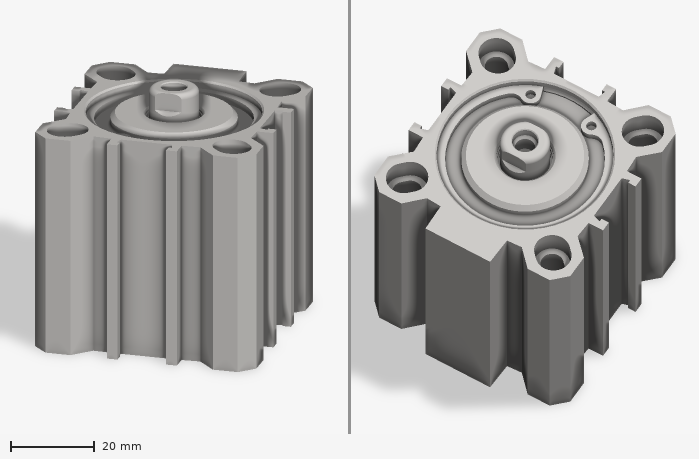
import cadquery as cq
import math

total_height = 60.5
overall_width = 55.0
overall_depth = 58.0
housing_height = 54.5

half_width = overall_width / 2
lug_chamfer = 3.55
lug_inner_end = 17.7
valley_start = 13.3
valley_depth = 23.0
wall_depth = 23.25
rail_outer = 8.7
rail_lip = 6.05
rail_neck = 6.9
rail_foot = 6.3
rail_tip = 27.3
lip_underside = 25.2
port_block_reach = overall_depth - half_width
port_block_tip = 9.1
port_block_foot = 9.3

mount_offset = 20.45
mount_stretch = 1.6
mount_hole_dia = 5.5
mount_counterbore_dia = 8.6
mount_counterbore_depth = 5.8

mouth_dia = 42.2
mouth_chamfer = 0.4
ring_groove_dia = 44.7
ring_depth = 2.0
ring_thickness = 1.75
ring_inner_dia = 38.2
ring_eye_x = 8.55
ring_eye_y = -16.35
ring_eye_radius = 2.5
ring_eye_hole_dia = 2.5
ring_eye_fillet = 2.8

cover_flange_dia = 41.7
cover_flange_thickness = 6.05
cover_boss_dia = 30.5
cover_boss_top_dia = 28.25
cover_boss_depth = 0.55
cover_bevel_height = 1.2
cover_root_fillet = 0.65
cover_mouth_dia = 14.65
wiper_dia = 13.7
wiper_step_dia = 13.05
wiper_lip_dia = 12.5
wiper_step_depth = 0.95

rod_dia = 12.0
rod_fillet = 1.35
rod_flat_spacing = 10.0
rod_flat_height = 4.55
rod_mouth_dia = 6.25
rod_mouth_chamfer = 0.25
rod_mouth_depth = 2.4
rod_drill_dia = 4.9
rod_drill_depth = 7.25
drill_point_angle = 118.0

ring_top = housing_height - ring_depth
cover_flange_top = ring_top - ring_thickness
seat_floor = cover_flange_top - cover_flange_thickness
cover_boss_top = housing_height - cover_boss_depth


def disc(diameter, bottom, top):
    return cq.Workplane("XY").workplane(offset=bottom).circle(diameter / 2).extrude(top - bottom)


def turned(profile):
    """Revolve (radius, z) points about the Z axis."""
    return cq.Workplane("XZ").polyline(profile).close().revolve(360, (0, 0, 0), (0, 1, 0))


def mirrored_side(half):
    """Complete one side of the outline from its points at negative position along the side."""
    return half + [(-along, out) for along, out in reversed(half)]


def housing_outline():
    lug = [
        (lug_chamfer - half_width, half_width),
        (-lug_inner_end, half_width),
        (-valley_start, valley_depth),
    ]
    rail = [
        (-rail_outer, wall_depth),
        (-rail_outer, rail_tip),
        (-rail_lip, rail_tip),
        (-rail_lip, lip_underside),
        (-rail_neck, lip_underside),
        (-rail_foot, wall_depth),
    ]
    port_block = [(-port_block_foot, wall_depth), (-port_block_tip, port_block_reach)]

    rail_side = mirrored_side(lug + rail)
    port_side = mirrored_side(lug + port_block)
    right = [(out, -along) for along, out in rail_side]
    bottom = [(-along, -out) for along, out in rail_side]
    left = [(-out, along) for along, out in rail_side]
    return port_side + right + bottom + left


def mounting_holes():
    holes = cq.Workplane("XY")
    counterbore_floor = housing_height - mount_counterbore_depth
    for sign_x in (-1, 1):
        for sign_y in (-1, 1):
            center = (sign_x * mount_offset, sign_y * mount_offset)
            angle = 45 * sign_x * sign_y
            for diameter, bottom in ((mount_hole_dia, 0), (mount_counterbore_dia, counterbore_floor)):
                slot = (
                    cq.Workplane("XY").workplane(offset=bottom).center(*center)
                    .slot2D(diameter + mount_stretch, diameter, angle)
                    .extrude(housing_height - bottom)
                )
                holes = holes.add(slot)
    return holes.combine()


def make_housing():
    body = cq.Workplane("XY").polyline(housing_outline()).close().extrude(housing_height)
    mouth_radius = mouth_dia / 2
    mouth = turned([
        (0, seat_floor),
        (mouth_radius, seat_floor),
        (mouth_radius, housing_height - mouth_chamfer),
        (mouth_radius + mouth_chamfer, housing_height),
        (0, housing_height),
    ])
    groove = disc(ring_groove_dia, cover_flange_top, ring_top)
    return body.cut(mounting_holes()).cut(mouth).cut(groove)


def polar(radius, angle):
    return (radius * math.cos(angle), radius * math.sin(angle))


def point_towards(start, end, distance):
    """Point at a given distance from start on the line to end."""
    share = distance / math.dist(start, end)
    return (start[0] + share * (end[0] - start[0]), start[1] + share * (end[1] - start[1]))


def mirror_x(point):
    return (-point[0], point[1])


def make_ring():
    inner = ring_inner_dia / 2
    outer = ring_groove_dia / 2
    eye = (ring_eye_x, ring_eye_y)
    eye_reach = math.hypot(*eye)
    eye_angle = math.atan2(ring_eye_y, ring_eye_x)

    end_angle = eye_angle - math.asin(ring_eye_radius / eye_reach)
    end_inner = polar(math.sqrt(eye_reach**2 - ring_eye_radius**2), end_angle)
    end_outer = polar(outer, end_angle)

    blend_reach = inner - ring_eye_fillet
    blend_to_eye = ring_eye_radius + ring_eye_fillet
    cosine = (eye_reach**2 + blend_reach**2 - blend_to_eye**2) / (2 * eye_reach * blend_reach)
    blend_angle = eye_angle + math.acos(cosine)
    blend = polar(blend_reach, blend_angle)
    blend_on_ring = polar(inner, blend_angle)
    blend_on_eye = point_towards(blend, eye, ring_eye_fillet)
    blend_chord_middle = (
        (blend_on_ring[0] + blend_on_eye[0]) / 2,
        (blend_on_ring[1] + blend_on_eye[1]) / 2,
    )
    blend_middle = point_towards(blend, blend_chord_middle, ring_eye_fillet)
    eye_middle = point_towards(eye, (0, 0), ring_eye_radius)

    ring = (
        cq.Workplane("XY").workplane(offset=cover_flange_top)
        .moveTo(*end_outer)
        .threePointArc((0, outer), mirror_x(end_outer))
        .lineTo(*mirror_x(end_inner))
        .threePointArc(mirror_x(eye_middle), mirror_x(blend_on_eye))
        .threePointArc(mirror_x(blend_middle), mirror_x(blend_on_ring))
        .threePointArc((0, inner), blend_on_ring)
        .threePointArc(blend_middle, blend_on_eye)
        .threePointArc(eye_middle, end_inner)
        .close()
        .extrude(ring_thickness)
    )
    eye_holes = (
        cq.Workplane("XY").workplane(offset=cover_flange_top)
        .pushPoints([eye, mirror_x(eye)])
        .circle(ring_eye_hole_dia / 2)
        .extrude(ring_thickness)
    )
    return ring.cut(eye_holes)


def make_cover():
    boss_radius = cover_boss_dia / 2
    root_radius = boss_radius + cover_root_fillet
    root_corner = cover_root_fillet * (1 - math.sqrt(0.5))
    body = (
        cq.Workplane("XZ")
        .moveTo(0, seat_floor)
        .lineTo(cover_flange_dia / 2, seat_floor)
        .lineTo(cover_flange_dia / 2, cover_flange_top)
        .lineTo(root_radius, cover_flange_top)
        .threePointArc(
            (boss_radius + root_corner, cover_flange_top + root_corner),
            (boss_radius, cover_flange_top + cover_root_fillet),
        )
        .lineTo(boss_radius, cover_boss_top - cover_bevel_height)
        .lineTo(cover_boss_top_dia / 2, cover_boss_top)
        .lineTo(0, cover_boss_top)
        .close()
        .revolve(360, (0, 0, 0), (0, 1, 0))
    )
    mouth_bevel = (cover_mouth_dia - wiper_dia) / 2
    first_step = cover_boss_top - wiper_step_depth
    second_step = first_step - wiper_step_depth
    lip_floor = second_step - wiper_step_depth
    opening = turned([
        (0, seat_floor),
        (rod_dia / 2, seat_floor),
        (rod_dia / 2, lip_floor),
        (wiper_lip_dia / 2, lip_floor),
        (wiper_lip_dia / 2, second_step),
        (wiper_step_dia / 2, second_step),
        (wiper_step_dia / 2, first_step),
        (wiper_dia / 2, first_step),
        (wiper_dia / 2, cover_boss_top - mouth_bevel),
        (cover_mouth_dia / 2, cover_boss_top),
        (0, cover_boss_top),
    ])
    return body.cut(opening)


def wrench_flat(side):
    """Cutter for one flat; its foot runs out at 45 degrees."""
    flat = rod_flat_spacing / 2
    outside = rod_dia
    foot = total_height - rod_flat_height
    return (
        cq.Workplane("YZ").workplane(offset=-rod_dia)
        .polyline([
            (side * flat, foot),
            (side * flat, total_height),
            (side * outside, total_height),
            (side * outside, foot - (outside - flat)),
        ])
        .close()
        .extrude(2 * rod_dia)
    )


def make_rod():
    rod = disc(rod_dia, seat_floor, total_height).faces(">Z").edges().fillet(rod_fillet)
    for side in (-1, 1):
        rod = rod.cut(wrench_flat(side))

    mouth_radius = rod_mouth_dia / 2
    drill_radius = rod_drill_dia / 2
    mouth_floor = total_height - rod_mouth_depth
    cone_floor = mouth_floor - (mouth_radius - drill_radius)
    drill_floor = total_height - rod_drill_depth
    drill_point = drill_floor - drill_radius / math.tan(math.radians(drill_point_angle / 2))
    hole = turned([
        (0, drill_point),
        (drill_radius, drill_floor),
        (drill_radius, cone_floor),
        (mouth_radius, mouth_floor),
        (mouth_radius, total_height - rod_mouth_chamfer),
        (mouth_radius + rod_mouth_chamfer, total_height),
        (0, total_height),
    ])
    return rod.cut(hole)


housing = make_housing()
retaining_ring = make_ring()
rod_cover = make_cover()
piston_rod = make_rod()

result = cq.Compound.makeCompound([
    housing.solids().val(),
    retaining_ring.solids().val(),
    rod_cover.solids().val(),
    piston_rod.solids().val(),
])